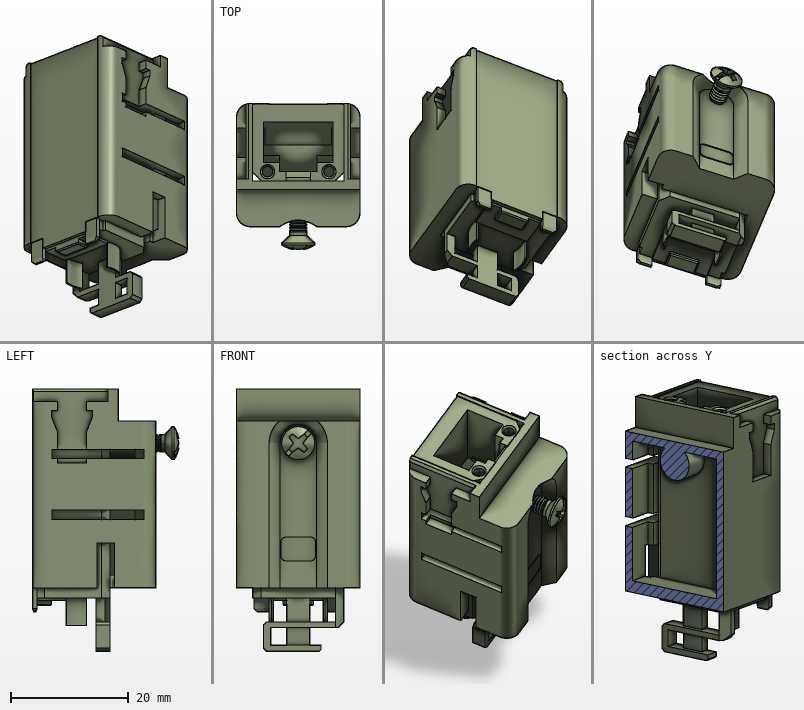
import cadquery as cq


WIDTH = 21.0
HALF_WIDTH = WIDTH / 2
BODY_DEPTH = 20.95
CORNER_RADIUS = 2.35
TOTAL_HEIGHT = 44.6
BODY_BOTTOM = 10.8
STEP_Z = 39.15
STEP_DEPTH = 14.6
SIDE_FACE_X = 8.9
FRONT_WALL = 1.7

INSERT_HALF = 7.75
INSERT_BACK = 0.15
INSERT_FRONT = 13.15
INSERT_BOTTOM = 9.05
INSERT_TOP = 44.4
INSERT_CHAMFER = 1.45

BAND_FRONT = 12.8
BAND_BOTTOM = 42.45
RIM_CHAMFER = 0.45
LATCH_CENTER = 6.7
NECK_HALF = 2.5
LATCH_HALF = 3.5
LATCH_TOP = 40.9
LATCH_TAPER_TOP = 39.87
LATCH_TAPER_BOTTOM = 37.37
LATCH_BOTTOM = 32.0

SLOT_BACK = 3.3
SLOT_FRONT = 18.9
SLOT_Z_RANGES = ((32.8, 34.3), (22.4, 24.0))
NOTCH_BACK = 10.95
NOTCH_FRONT = 13.9
NOTCH_TOP = 18.38

GROOVE_HALF = 4.95
GROOVE_DEPTH = 1.87
GROOVE_FLOOR_HALF = GROOVE_HALF - GROOVE_DEPTH
GROOVE_FLOOR = BODY_DEPTH - GROOVE_DEPTH
SCREW_Z = 35.35
LABEL_WIDTH = 5.95
LABEL_HEIGHT = 4.05
LABEL_Z = 17.4
LABEL_RADIUS = 0.9
LABEL_RECESS = 0.15

CAVITY_HALF = 8.9
CAVITY_ROOF = 1.55
CAVITY_BOTTOM = 12.95
CAVITY_TOP = STEP_Z - CAVITY_ROOF
CAVITY_FRONT = BODY_DEPTH - FRONT_WALL
RIDGE_FACE = GROOVE_FLOOR - FRONT_WALL
RIDGE_HALF = 3.8
BOSS_RADIUS = 3.1

SOCKET_BACK = 3.15
SOCKET_HALF = 5.95
SHOULDER_FRONT = 10.05
KEYWAY_HALF = 3.2
KEYWAY_FRONT = 11.6
SOCKET_FLOOR = 33.0
CONTACT_HALF = 5.6
CONTACT_BACK = 4.2
CONTACT_FRONT = 7.05
CONTACT_DROP = 0.9
SHELF_BACK = 8.88
SHELF_RISE = 0.9
LATCH_SLOT_HALF = 2.05
LATCH_SLOPE_FRONT = 12.58
LATCH_LEDGE_Z = 43.98
LATCH_SLOPE_DROP = 2.25
PIN_HOLE_X = 5.2
PIN_HOLE_DEPTH = 11.6
PIN_HOLE_RADIUS = 0.9
PIN_RIM_RADIUS = 1.2
PIN_HOLE_LENGTH = 4.45

PLUG_STEP = 2.0
PLUG_STEP_HALF = 7.23
TAB_THICKNESS = 0.75
TAB_INNER = 4.95
TAB_OUTER = 7.55
TAB_BOTTOM = 6.7
TAB_BEVEL = 0.6
TAB_TIP_TAPER = 0.2
SKIRT_FRONT = 5.7
SKIRT_BOTTOM = 8.6
STUB_HALF = 2.65
STUB_FRONT = 3.2
STUB_BOTTOM = 7.75
STUB_CHAMFER = 0.22
SHIELD_CENTER = 7.05
SHIELD_OUTER = 5.0
SHIELD_INNER = 4.73
SHIELD_FRONT = 9.2
SHIELD_BOTTOM = 4.35

BRACKET_BACK = 10.75
LEG_INNER = INSERT_HALF - INSERT_CHAMFER
ARM_BOTTOM = 4.0
ARM_TOP = 5.0
LEG_CHAMFER = 1.0
HOOK_OUTER = -5.95
HOOK_INNER = -4.65
HOOK_CHAMFER = 0.55
FOOT_TOP = 1.05
FOOT_END = 3.9
FOOT_CHAMFER = 0.3
BAR_HALF = 1.95
BAR_FRONT = 12.3

THREAD_RADIUS = 1.5
THREAD_ROOT = 1.25
THREAD_PITCH = 0.5
THREAD_TURNS = 5
SHANK_START = 21.85
HEAD_START = 22.5
RIM_START = 23.7
RIM_END = 24.05
SCREW_TIP = 24.95
HEAD_RADIUS = 2.8
CROSS_REACH = 1.85
CROSS_TIP_HALF = 0.4
CROSS_ROOT_HALF = 0.6
CROSS_DEPTH = 1.05
DRIVE_SLOT_WIDTH = 0.8
DRIVE_SLOT_DEPTH = 0.85

OVER = 0.45


def block(x0, x1, depth0, depth1, z0, z1):
    """Box between two X, two depth and two Z values."""
    box = cq.Workplane("XY").box(x1 - x0, depth1 - depth0, z1 - z0, centered=False)
    return box.translate((x0, -depth1, z0))


def plan_prism(points, z0, z1):
    """Prism standing on an outline of (x, depth) points."""
    outline = [(x, -depth) for x, depth in points]
    return cq.Workplane("XY").workplane(offset=z0).polyline(outline).close().extrude(z1 - z0)


def front_prism(points, depth0, depth1):
    """Prism along the depth from an outline of (x, z) points."""
    plane = cq.Workplane("XZ", origin=(0, -depth0, 0))
    return plane.polyline(points).close().extrude(depth1 - depth0)


def side_prism(points, x0, x1):
    """Prism along X from an outline of (depth, z) points."""
    outline = [(-depth, z) for depth, z in points]
    return cq.Workplane("YZ", origin=(x0, 0, 0)).polyline(outline).close().extrude(x1 - x0)


def both_sides(solid):
    """The solid together with its mirror image across X = 0."""
    return solid.union(solid.mirror("YZ"))


def outer_shell():
    shell = block(-HALF_WIDTH, HALF_WIDTH, 0, BODY_DEPTH, BODY_BOTTOM, TOTAL_HEIGHT)
    shell = shell.edges("|Z").fillet(CORNER_RADIUS)
    step = block(-WIDTH, WIDTH, STEP_DEPTH, BODY_DEPTH + OVER, STEP_Z, TOTAL_HEIGHT + OVER)
    channel = block(-INSERT_HALF, INSERT_HALF, -OVER, INSERT_FRONT, 0, TOTAL_HEIGHT + OVER)
    return shell.cut(step).cut(channel)


def front_groove():
    low = BODY_BOTTOM - OVER
    trough = plan_prism(
        [
            (-GROOVE_FLOOR_HALF, GROOVE_FLOOR),
            (GROOVE_FLOOR_HALF, GROOVE_FLOOR),
            (GROOVE_HALF, BODY_DEPTH),
            (-GROOVE_HALF, BODY_DEPTH),
        ],
        low,
        SCREW_Z,
    )
    cone = cq.Workplane("XY").add(
        cq.Solid.makeCone(
            GROOVE_FLOOR_HALF,
            GROOVE_HALF,
            GROOVE_DEPTH,
            pnt=cq.Vector(0, -GROOVE_FLOOR, SCREW_Z),
            dir=cq.Vector(0, -1, 0),
        )
    )
    label = block(
        -LABEL_WIDTH / 2,
        LABEL_WIDTH / 2,
        GROOVE_FLOOR - LABEL_RECESS,
        GROOVE_FLOOR + OVER,
        LABEL_Z - LABEL_HEIGHT / 2,
        LABEL_Z + LABEL_HEIGHT / 2,
    )
    label = label.edges("|Y").fillet(LABEL_RADIUS)
    return trough.union(cone).union(label)


def front_cavity():
    """Hollow that follows the groove at constant wall thickness, crossed by the screw boss."""
    ridge_foot = RIDGE_HALF + CAVITY_FRONT - RIDGE_FACE
    hollow = plan_prism(
        [
            (-CAVITY_HALF, INSERT_FRONT),
            (CAVITY_HALF, INSERT_FRONT),
            (CAVITY_HALF, CAVITY_FRONT),
            (ridge_foot, CAVITY_FRONT),
            (RIDGE_HALF, RIDGE_FACE),
            (-RIDGE_HALF, RIDGE_FACE),
            (-ridge_foot, CAVITY_FRONT),
            (-CAVITY_HALF, CAVITY_FRONT),
        ],
        CAVITY_BOTTOM,
        CAVITY_TOP,
    )
    boss = cq.Workplane("XZ", origin=(0, -INSERT_FRONT, SCREW_Z)).circle(BOSS_RADIUS)
    return hollow.cut(boss.extrude(RIDGE_FACE - INSERT_FRONT))


def side_recess():
    """Recess in the -X side: a band round the rim and the latch-shaped window below it."""
    outside = -HALF_WIDTH - OVER
    band = block(outside, -SIDE_FACE_X, -OVER, BAND_FRONT, BAND_BOTTOM, TOTAL_HEIGHT + OVER)
    rim = front_prism(
        [
            (-SIDE_FACE_X, TOTAL_HEIGHT - RIM_CHAMFER),
            (-SIDE_FACE_X + RIM_CHAMFER, TOTAL_HEIGHT),
            (-SIDE_FACE_X, TOTAL_HEIGHT),
        ],
        -OVER,
        BAND_FRONT,
    )
    half_outline = [
        (NECK_HALF, BAND_BOTTOM + OVER),
        (NECK_HALF, LATCH_TOP),
        (LATCH_HALF, LATCH_TOP),
        (LATCH_HALF, LATCH_TAPER_TOP),
        (NECK_HALF, LATCH_TAPER_BOTTOM),
        (NECK_HALF, LATCH_BOTTOM),
    ]
    front_half = [(LATCH_CENTER + offset, z) for offset, z in half_outline]
    back_half = [(LATCH_CENTER - offset, z) for offset, z in reversed(half_outline)]
    window = side_prism(front_half + back_half, outside, -SIDE_FACE_X)
    return band.union(rim).union(window)


def side_openings():
    """Slots and bottom notch through the -X wall, as far as the insert."""
    outside = -HALF_WIDTH - OVER
    openings = block(outside, -INSERT_HALF, NOTCH_BACK, NOTCH_FRONT, BODY_BOTTOM - OVER, NOTCH_TOP)
    for low, high in SLOT_Z_RANGES:
        openings = openings.union(block(outside, -INSERT_HALF, SLOT_BACK, SLOT_FRONT, low, high))
    return openings


def socket_opening():
    top = TOTAL_HEIGHT
    shelf_z = SOCKET_FLOOR + SHELF_RISE
    opening = block(-SOCKET_HALF, SOCKET_HALF, SOCKET_BACK, SHELF_BACK, SOCKET_FLOOR, top)
    shelves = block(-SOCKET_HALF, SOCKET_HALF, SOCKET_BACK, SHOULDER_FRONT, shelf_z, top)
    keyway = block(-KEYWAY_HALF, KEYWAY_HALF, SOCKET_BACK, KEYWAY_FRONT, SOCKET_FLOOR, top)
    pit_z = SOCKET_FLOOR - CONTACT_DROP
    contact_pit = block(-SOCKET_HALF, SOCKET_HALF, SOCKET_BACK, CONTACT_BACK, pit_z, top)
    contacts = block(-CONTACT_HALF, CONTACT_HALF, SOCKET_BACK, CONTACT_FRONT, pit_z, top)
    latch_slot = side_prism(
        [
            (KEYWAY_FRONT, LATCH_LEDGE_Z - LATCH_SLOPE_DROP),
            (LATCH_SLOPE_FRONT, LATCH_LEDGE_Z),
            (INSERT_FRONT, LATCH_LEDGE_Z),
            (INSERT_FRONT, top),
            (KEYWAY_FRONT, top),
        ],
        -LATCH_SLOT_HALF,
        LATCH_SLOT_HALF,
    )
    return opening.union(shelves).union(keyway).union(contact_pit).union(contacts).union(latch_slot)


def pin_holes():
    rim_height = PIN_RIM_RADIUS - PIN_HOLE_RADIUS
    profile = [
        (0, INSERT_TOP),
        (PIN_RIM_RADIUS, INSERT_TOP),
        (PIN_HOLE_RADIUS, INSERT_TOP - rim_height),
        (PIN_HOLE_RADIUS, INSERT_TOP - PIN_HOLE_LENGTH),
        (0, INSERT_TOP - PIN_HOLE_LENGTH),
    ]
    hole = cq.Workplane("XZ").polyline(profile).close().revolve(360, (0, 0, 0), (0, 1, 0))
    return both_sides(hole.translate((-PIN_HOLE_X, -PIN_HOLE_DEPTH, 0)))


def insert():
    body = block(-INSERT_HALF, INSERT_HALF, INSERT_BACK, INSERT_FRONT, INSERT_BOTTOM, INSERT_TOP)
    body = body.edges("|Z and <Y").chamfer(INSERT_CHAMFER)
    back_step = block(-WIDTH, -PLUG_STEP_HALF, 0, PLUG_STEP, 0, BODY_BOTTOM)
    return body.cut(both_sides(back_step)).cut(socket_opening()).cut(pin_holes())


def underside_details():
    join_z = INSERT_BOTTOM + OVER
    tab = front_prism(
        [
            (-TAB_OUTER, BODY_BOTTOM),
            (-TAB_INNER, BODY_BOTTOM),
            (-TAB_INNER, TAB_BOTTOM),
            (-TAB_OUTER + TAB_BEVEL, TAB_BOTTOM),
            (-TAB_OUTER, TAB_BOTTOM + TAB_BEVEL),
        ],
        0,
        TAB_THICKNESS,
    )
    tapered_side = side_prism(
        [
            (0, BODY_BOTTOM),
            (TAB_THICKNESS, BODY_BOTTOM),
            (TAB_THICKNESS, TAB_BOTTOM + TAB_BEVEL),
            (TAB_THICKNESS - TAB_TIP_TAPER, TAB_BOTTOM),
            (TAB_TIP_TAPER, TAB_BOTTOM),
            (0, TAB_BOTTOM + TAB_BEVEL),
        ],
        -TAB_OUTER,
        -TAB_INNER,
    )
    tab = tab.intersect(tapered_side)
    shield = (
        cq.Workplane("XY", origin=(0, -SHIELD_CENTER, SHIELD_BOTTOM))
        .circle(SHIELD_OUTER)
        .circle(SHIELD_INNER)
        .extrude(join_z - SHIELD_BOTTOM)
    )
    shield = shield.intersect(block(-WIDTH, WIDTH, SKIRT_FRONT, SHIELD_FRONT, 0, TOTAL_HEIGHT))
    skirt = block(-TAB_INNER, TAB_INNER, TAB_THICKNESS, SKIRT_FRONT, SKIRT_BOTTOM, join_z)
    stub = block(-STUB_HALF, STUB_HALF, TAB_THICKNESS, STUB_FRONT, STUB_BOTTOM, join_z)
    stub = stub.faces("<Z").edges().chamfer(STUB_CHAMFER)
    return both_sides(tab).union(shield).union(skirt).union(stub)


def bracket():
    join_z = INSERT_BOTTOM + OVER
    strip = front_prism(
        [
            (LEG_INNER, join_z),
            (INSERT_HALF, join_z),
            (INSERT_HALF, ARM_BOTTOM + LEG_CHAMFER),
            (INSERT_HALF - LEG_CHAMFER, ARM_BOTTOM),
            (HOOK_INNER, ARM_BOTTOM),
            (HOOK_INNER, FOOT_TOP),
            (FOOT_END, FOOT_TOP),
            (FOOT_END, FOOT_CHAMFER),
            (FOOT_END - FOOT_CHAMFER, 0),
            (HOOK_OUTER + HOOK_CHAMFER, 0),
            (HOOK_OUTER, HOOK_CHAMFER),
            (HOOK_OUTER, ARM_TOP - HOOK_CHAMFER),
            (HOOK_OUTER + HOOK_CHAMFER, ARM_TOP),
            (LEG_INNER, ARM_TOP),
        ],
        BRACKET_BACK,
        INSERT_FRONT,
    )
    corner = plan_prism(
        [
            (INSERT_HALF, INSERT_FRONT - INSERT_CHAMFER),
            (INSERT_HALF, INSERT_FRONT),
            (INSERT_HALF - INSERT_CHAMFER, INSERT_FRONT),
        ],
        0,
        TOTAL_HEIGHT,
    )
    bar = block(-BAR_HALF, BAR_HALF, BRACKET_BACK, BAR_FRONT, FOOT_TOP, join_z)
    return strip.cut(corner).union(bar)


def screw():
    """Countersunk raised-head screw with grooves for its thread and a cross and slot drive."""
    thread_start = SHANK_START - THREAD_TURNS * THREAD_PITCH
    profile = cq.Workplane("XY").moveTo(0, -RIDGE_FACE - OVER).lineTo(THREAD_ROOT, -RIDGE_FACE - OVER)
    profile = profile.lineTo(THREAD_ROOT, -thread_start)
    for turn in range(THREAD_TURNS):
        depth = thread_start + turn * THREAD_PITCH
        profile = profile.lineTo(THREAD_RADIUS, -depth - THREAD_PITCH / 2)
        profile = profile.lineTo(THREAD_ROOT, -depth - THREAD_PITCH)
    profile = (
        profile.lineTo(THREAD_RADIUS, -SHANK_START)
        .lineTo(THREAD_RADIUS, -HEAD_START)
        .lineTo(HEAD_RADIUS, -RIM_START)
        .lineTo(HEAD_RADIUS, -RIM_END)
    )
    dome_height = SCREW_TIP - RIM_END
    dome_radius = (HEAD_RADIUS**2 + dome_height**2) / (2 * dome_height)
    half_reach = HEAD_RADIUS / 2
    half_sag = dome_radius - (dome_radius**2 - half_reach**2) ** 0.5
    profile = profile.threePointArc((half_reach, -SCREW_TIP + half_sag), (0, -SCREW_TIP)).close()
    body = profile.revolve(360, (0, 0, 0), (0, 1, 0))

    drive = block(
        -HEAD_RADIUS,
        HEAD_RADIUS,
        SCREW_TIP - DRIVE_SLOT_DEPTH,
        SCREW_TIP + OVER,
        -DRIVE_SLOT_WIDTH / 2,
        DRIVE_SLOT_WIDTH / 2,
    )
    arm = front_prism(
        [
            (0, -CROSS_ROOT_HALF),
            (CROSS_ROOT_HALF, -CROSS_ROOT_HALF),
            (CROSS_REACH, -CROSS_TIP_HALF),
            (CROSS_REACH, CROSS_TIP_HALF),
            (CROSS_ROOT_HALF, CROSS_ROOT_HALF),
            (0, CROSS_ROOT_HALF),
        ],
        SCREW_TIP - CROSS_DEPTH,
        SCREW_TIP + OVER,
    )
    for quarter in range(4):
        drive = drive.union(arm.rotate((0, 0, 0), (0, 1, 0), 90 * quarter))
    drive = drive.rotate((0, 0, 0), (0, 1, 0), -45)
    return body.cut(drive).translate((0, 0, SCREW_Z))


housing = outer_shell().cut(front_groove()).cut(front_cavity())
housing = housing.cut(both_sides(side_recess())).cut(side_openings())
result = housing.union(insert()).union(underside_details()).union(bracket()).union(screw())